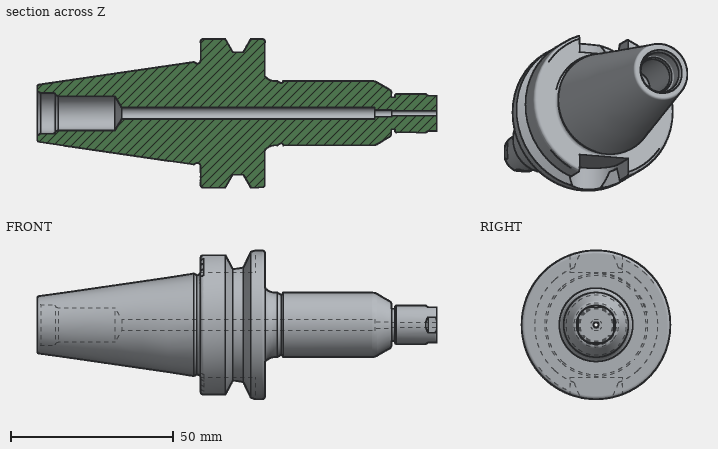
import cadquery as cq
import math


gauge_radius = 31.75 / 2
taper_length = 48.4
taper_slope = 7 / 24 / 2
taper_end_x = -taper_length
taper_end_radius = gauge_radius - taper_slope * taper_length
taper_end_fillet = 0.8

relief_x = 0.9
relief_radius = 15.35
relief_corner_radius = 16.2

flange_radius = 23.0
flange_start_x = 2.0
flange_end_x = 22.0
flange_edge_fillet = 1.0
v_groove_center_x = 13.65
v_groove_floor_width = 3.25
v_groove_floor_radius = 19.0
v_groove_wall_angle = math.radians(30)

slot_width = 16.1
slot_end_x = 19.0
slot_floor_height = 16.2

body_radius = 10.0
flange_blend_radius = 4.0
flange_blend_end_x = 25.0
body_relief_start_x = 25.7
body_relief_x = 26.9
body_relief_end_x = 27.5
body_relief_radius = 9.3
nose_cone_angle = math.radians(30)
nose_cone_start_x = 55.8
nose_end_x = 61.0
nose_cone_end_radius = body_radius - (nose_end_x - nose_cone_start_x) * math.tan(nose_cone_angle)
nose_shoulder_fillet = 3.0
nose_tip_fillet = 1.2

nut_radius = 6.0
nut_start_x = 62.0
nut_end_x = 75.0
nut_rear_chamfer = 0.4
nut_front_fillet = 0.7
nut_neck_radius = 5.0
nut_flat_distance = 5.5
nut_flat_start_x = 72.25
nut_flat_runout = 0.75
nut_flat_count = 4

bore_entry_radius = 6.85
bore_entry_length = 1.1
pilot_radius = 12.5 / 2
pilot_depth = 5.0
pilot_floor_fillet = 0.6
thread_lead_length = 0.9
thread_radius = 10.5 / 2
thread_depth = 24.0
drill_point_angle = math.radians(59)
feed_radius = 3.5 / 2
feed_end_x = nose_cone_start_x
feed_outlet_radius = 2.0 / 2
feed_outlet_end_x = nose_end_x
passage_radius = 1.5 / 2


def revolve_about_x(profile):
    """Revolve a closed XY profile a full turn about the X axis."""
    return profile.close().revolve(360, (0, 0, 0), (1, 0, 0))


def corner_midpoint(start_x, start_radius, end_x, end_radius):
    """Middle point of a concave quarter round that leaves its start along X."""
    return (
        start_x + (end_x - start_x) * math.sin(math.pi / 4),
        start_radius + (end_radius - start_radius) * (1 - math.cos(math.pi / 4)),
    )


def make_taper():
    taper = revolve_about_x(
        cq.Workplane("XY")
        .moveTo(taper_end_x, 0)
        .lineTo(taper_end_x, taper_end_radius)
        .lineTo(0, gauge_radius)
        .lineTo(0, 0)
    )
    return taper.faces("<X").edges().fillet(taper_end_fillet)


def make_relief_neck():
    return revolve_about_x(
        cq.Workplane("XY")
        .lineTo(0, gauge_radius)
        .lineTo(relief_x, relief_radius)
        .threePointArc(
            corner_midpoint(relief_x, relief_radius, flange_start_x, relief_corner_radius),
            (flange_start_x, relief_corner_radius),
        )
        .lineTo(flange_start_x, 0)
    )


def make_flange():
    blank = (
        cq.Workplane("YZ", origin=(flange_start_x, 0, 0))
        .circle(flange_radius)
        .extrude(flange_end_x - flange_start_x)
        .edges()
        .fillet(flange_edge_fillet)
    )
    half_floor = v_groove_floor_width / 2
    groove_depth = flange_radius - v_groove_floor_radius
    half_mouth = half_floor + groove_depth * math.tan(v_groove_wall_angle)
    groove = revolve_about_x(
        cq.Workplane("XY")
        .moveTo(v_groove_center_x - half_floor, v_groove_floor_radius)
        .lineTo(v_groove_center_x - half_mouth, flange_radius)
        .lineTo(v_groove_center_x + half_mouth, flange_radius)
        .lineTo(v_groove_center_x + half_floor, v_groove_floor_radius)
    )
    return blank.cut(groove)


def make_drive_slot(side):
    """Round-ended slot cutter; side is +1 for the +Z slot and -1 for the -Z slot."""
    half_width = slot_width / 2
    arc_center_x = slot_end_x - half_width
    return (
        cq.Workplane("XY", origin=(0, 0, side * slot_floor_height))
        .moveTo(0, -half_width)
        .lineTo(arc_center_x, -half_width)
        .threePointArc((slot_end_x, 0), (arc_center_x, half_width))
        .lineTo(0, half_width)
        .close()
        .extrude(side * flange_radius)
    )


def make_body():
    blend_length = flange_blend_end_x - flange_end_x
    blend_angle = math.asin(blend_length / flange_blend_radius)

    def blend_point(angle):
        x = flange_blend_end_x - flange_blend_radius * math.sin(angle)
        return x, body_radius + flange_blend_radius * (1 - math.cos(angle))

    body = revolve_about_x(
        cq.Workplane("XY")
        .moveTo(flange_end_x, 0)
        .lineTo(*blend_point(blend_angle))
        .threePointArc(blend_point(blend_angle / 2), (flange_blend_end_x, body_radius))
        .lineTo(body_relief_start_x, body_radius)
        .lineTo(body_relief_x, body_relief_radius)
        .threePointArc(
            corner_midpoint(body_relief_x, body_relief_radius, body_relief_end_x, body_radius),
            (body_relief_end_x, body_radius),
        )
        .lineTo(nose_cone_start_x, body_radius)
        .lineTo(nose_end_x, nose_cone_end_radius)
        .lineTo(nose_end_x, 0)
    )
    body = body.faces(">X").edges().fillet(nose_tip_fillet)
    shoulder_point = (nose_cone_start_x, 0, 0)
    shoulder_edge = body.edges("%CIRCLE").edges(cq.NearestToPointSelector(shoulder_point))
    return shoulder_edge.fillet(nose_shoulder_fillet)


def make_nut():
    neck = (
        cq.Workplane("YZ", origin=(nose_end_x, 0, 0))
        .circle(nut_neck_radius)
        .extrude(nut_start_x - nose_end_x)
    )
    nut = (
        cq.Workplane("YZ", origin=(nut_start_x, 0, 0))
        .circle(nut_radius)
        .extrude(nut_end_x - nut_start_x)
    )
    nut = nut.faces("<X").edges().chamfer(nut_rear_chamfer)
    nut = nut.faces(">X").edges().fillet(nut_front_fillet)

    flat_cutter = (
        cq.Workplane("XZ")
        .moveTo(nut_flat_start_x, nut_flat_distance)
        .lineTo(nut_flat_start_x - nut_flat_runout, nut_radius)
        .lineTo(nut_end_x, nut_radius)
        .lineTo(nut_end_x, nut_flat_distance)
        .close()
        .extrude(nut_radius, both=True)
    )
    for index in range(nut_flat_count):
        nut = nut.cut(flat_cutter.rotate((0, 0, 0), (1, 0, 0), index * 360 / nut_flat_count))
    return neck.union(nut)


def make_bore():
    pilot_end_x = taper_end_x + pilot_depth
    thread_end_x = taper_end_x + thread_depth
    pilot_floor_x = pilot_end_x + pilot_floor_fillet
    pilot_floor_radius = pilot_radius - pilot_floor_fillet
    fillet_middle = pilot_floor_fillet * math.sin(math.pi / 4)
    point_length = (thread_radius - feed_radius) / math.tan(drill_point_angle)
    return revolve_about_x(
        cq.Workplane("XY")
        .moveTo(taper_end_x, 0)
        .lineTo(taper_end_x, bore_entry_radius)
        .lineTo(taper_end_x + bore_entry_length, pilot_radius)
        .lineTo(pilot_end_x, pilot_radius)
        .threePointArc(
            (pilot_end_x + fillet_middle, pilot_floor_radius + fillet_middle),
            (pilot_floor_x, pilot_floor_radius),
        )
        .lineTo(pilot_floor_x + thread_lead_length, thread_radius)
        .lineTo(thread_end_x, thread_radius)
        .lineTo(thread_end_x + point_length, feed_radius)
        .lineTo(feed_end_x, feed_radius)
        .lineTo(feed_end_x, feed_outlet_radius)
        .lineTo(feed_outlet_end_x, feed_outlet_radius)
        .lineTo(feed_outlet_end_x, passage_radius)
        .lineTo(nut_end_x, passage_radius)
        .lineTo(nut_end_x, 0)
    )


flange = make_flange()
for slot_side in (1, -1):
    flange = flange.cut(make_drive_slot(slot_side))

result = make_taper()
for section in (make_relief_neck(), flange, make_body(), make_nut()):
    result = result.union(section)
result = result.cut(make_bore())